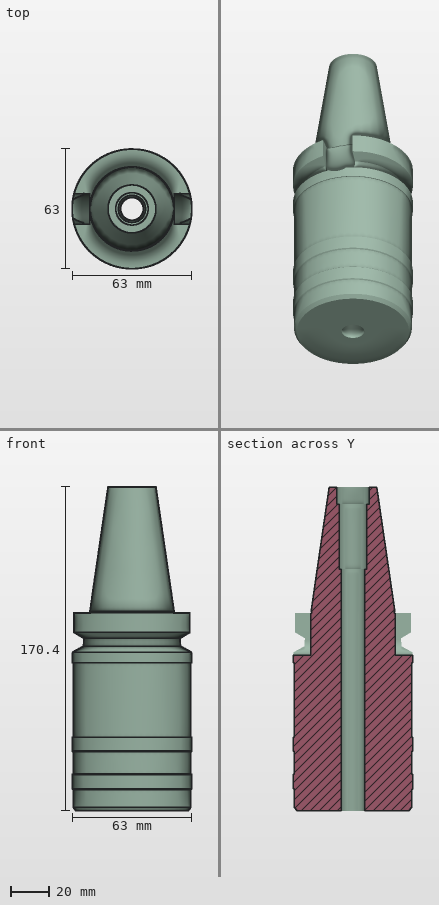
import cadquery as cq

total_height = 170.4
collar_radius = 31.5
body_radius = 31.0

gauge_z = 105.0
gauge_radius = 22.2
taper_ratio = 7 / 24
taper_top_radius = gauge_radius - (total_height - gauge_z) * taper_ratio / 2
root_radius = 21.8

flange_top_z = 104.1
flange_bottom_z = 93.9
groove_radius = 26.5
groove_top_z = 90.8
groove_bottom_z = 86.5
collar_top_z = 83.5
collar_bottom_z = 77.9

upper_band_top_z = 38.9
upper_band_bottom_z = 31.5
lower_band_top_z = 19.0
lower_band_bottom_z = 11.8
band_edge = collar_radius - body_radius

chamfer_top_z = 2.0
end_face_radius = 29.5

bore_radius = 6.0
entry_radius = 8.5
entry_depth = 9.0
step_radius = 7.2
step_depth = 34.0

slot_width = 16.0
slot_face_x = 22.3
slot_bottom_z = 82.0


def make_body():
    """Revolve the outer half profile around Z."""
    profile = [
        (0, 0),
        (end_face_radius, 0),
        (body_radius, chamfer_top_z),
        (body_radius, lower_band_bottom_z - band_edge),
        (collar_radius, lower_band_bottom_z),
        (collar_radius, lower_band_top_z),
        (body_radius, lower_band_top_z + band_edge),
        (body_radius, upper_band_bottom_z - band_edge),
        (collar_radius, upper_band_bottom_z),
        (collar_radius, upper_band_top_z),
        (body_radius, upper_band_top_z),
        (body_radius, collar_bottom_z),
        (collar_radius, collar_bottom_z),
        (collar_radius, collar_top_z),
        (groove_radius, groove_bottom_z),
        (groove_radius, groove_top_z),
        (collar_radius, flange_bottom_z),
        (collar_radius, flange_top_z),
        (root_radius, flange_top_z),
        (root_radius, gauge_z),
        (gauge_radius, gauge_z),
        (taper_top_radius, total_height),
        (0, total_height),
    ]
    return cq.Workplane("XZ").polyline(profile).close().revolve(360, (0, 0), (0, 1))


def make_bore():
    """Revolve the stepped axial bore as a cutting solid."""
    entry_floor_z = total_height - entry_depth
    profile = [
        (0, 0),
        (bore_radius, 0),
        (bore_radius, entry_floor_z - step_depth),
        (step_radius, entry_floor_z - step_depth),
        (step_radius, entry_floor_z),
        (entry_radius, entry_floor_z),
        (entry_radius, total_height),
        (0, total_height),
    ]
    return cq.Workplane("XZ").polyline(profile).close().revolve(360, (0, 0), (0, 1))


def make_drive_slot(side):
    """Cutting solid for one drive slot; side is -1 or +1 along X."""
    half_width = slot_width / 2
    arc_center_z = slot_bottom_z + half_width
    slot_depth = collar_radius - slot_face_x
    return (
        cq.Workplane("YZ", origin=(side * slot_face_x, 0, 0))
        .moveTo(-half_width, flange_top_z)
        .lineTo(-half_width, arc_center_z)
        .threePointArc((0, slot_bottom_z), (half_width, arc_center_z))
        .lineTo(half_width, flange_top_z)
        .close()
        .extrude(side * slot_depth)
    )


result = make_body().cut(make_bore())
for slot_side in (-1, 1):
    result = result.cut(make_drive_slot(slot_side))